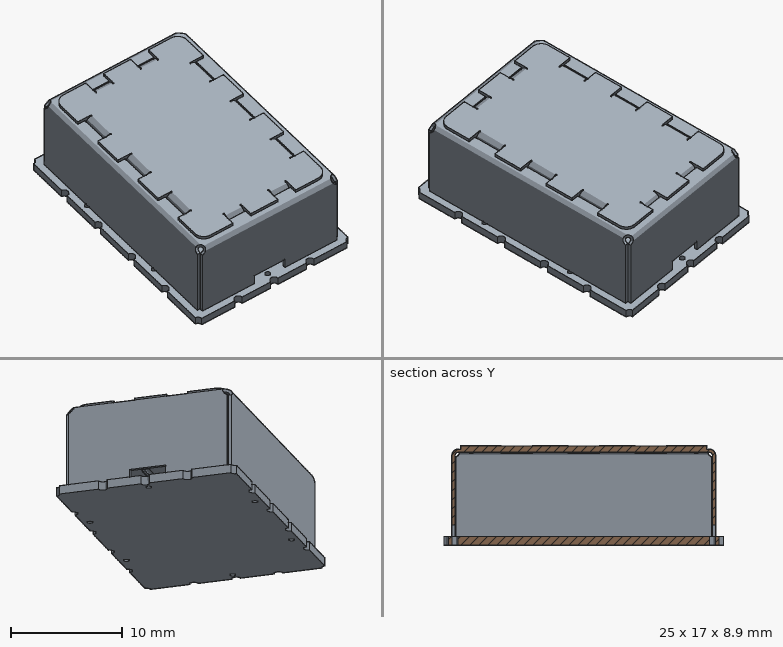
import cadquery as cq
import math

base_length = 25.0
base_width = 17.0
base_thickness = 0.8
castellation_diameter = 0.8
castellation_x = (-7.5, -2.5, 2.5, 7.5)
castellation_y = (-4.0, 0.0, 4.0)
via_diameter = 0.5
long_side_via_x = 5.0
long_side_via_y = 7.8
short_side_via_x = 11.5

overall_height = 8.9
sheet_thickness = 0.3
cover_length = 23.6
cover_width = 15.6
cover_bend_radius = 0.6
end_gap = 0.05
relief_half_angle = 50.0
window_width = 3.4
window_height = 1.0

plate_length = 22.0
plate_width = 14.0
plate_corner_radius = 1.0
tab_bend_radius = 0.7
tab_clearance = 0.1
notch_depth = 1.5
long_side_notch_width = 3.0
long_side_notch_x = (-6.0, 0.0, 6.0)
short_side_notch_width = 2.0
short_side_notch_y = (-2.5, 2.5)

cover_top = overall_height - sheet_thickness
flat_half_length = cover_length / 2 - cover_bend_radius
flat_half_width = cover_width / 2 - cover_bend_radius
short_wall_width = cover_width - 2 * sheet_thickness
long_wall_width = cover_length - 2 * (sheet_thickness + end_gap)


def block(x_size, y_size, z_size, x, y, z_bottom):
    """Box centred on (x, y) and standing on z_bottom."""
    box = cq.Workplane("XY").box(x_size, y_size, z_size, centered=(True, True, False))
    return box.translate((x, y, z_bottom))


def bent_sheet(start, radius, top, width, offset=0.0):
    """Quarter bend of sheet, level at x = start and turning down to vertical on the +X side."""
    inner_radius = radius - sheet_thickness
    centre_z = top - radius
    diagonal = math.sqrt(0.5)
    profile = (
        cq.Workplane("XZ")
        .moveTo(start, top)
        .threePointArc(
            (start + radius * diagonal, centre_z + radius * diagonal),
            (start + radius, centre_z),
        )
        .lineTo(start + inner_radius, centre_z)
        .threePointArc(
            (start + inner_radius * diagonal, centre_z + inner_radius * diagonal),
            (start, top - sheet_thickness),
        )
        .close()
    )
    return profile.extrude(width / 2, both=True).translate((0, offset, 0))


def cover_wall(bend_start, width):
    """Upright wall of the cover on the +X side, with the bend that joins it to the flat top."""
    wall_middle = bend_start + cover_bend_radius - sheet_thickness / 2
    wall_height = cover_top - cover_bend_radius - base_thickness
    wall = block(sheet_thickness, width, wall_height, wall_middle, 0, base_thickness)
    return wall.union(bent_sheet(bend_start, cover_bend_radius, cover_top, width))


def turned(shape, angle):
    """Shape turned about the Z axis."""
    return shape.rotate((0, 0, 0), (0, 0, 1), angle)


def make_base():
    """Board with round notches along its edges and corners, and small through holes."""
    base = block(base_length, base_width, base_thickness, 0, 0, 0)
    half_length = base_length / 2
    half_width = base_width / 2
    notches = []
    for side in (-1, 1):
        notches += [(x, side * half_width) for x in castellation_x]
        notches += [(side * half_length, y) for y in castellation_y]
        notches += [(side * half_length, end * half_width) for end in (-1, 1)]
    vias = [(x, y) for x in (-long_side_via_x, long_side_via_x) for y in (-long_side_via_y, long_side_via_y)]
    vias += [(-short_side_via_x, 0), (short_side_via_x, 0)]
    for points, diameter in ((notches, castellation_diameter), (vias, via_diameter)):
        base = base.cut(cq.Workplane("XY").pushPoints(points).circle(diameter / 2).extrude(base_thickness))
    return base


def corner_reliefs():
    """Cones along the body diagonals, widening outward from where the bend axes cross."""
    relief_length = 2 * cover_bend_radius
    bend_axis_z = cover_top - cover_bend_radius
    relief_mouth_radius = relief_length * math.tan(math.radians(relief_half_angle))
    reliefs = cq.Workplane("XY")
    for x_side in (-1, 1):
        for y_side in (-1, 1):
            apex = cq.Vector(x_side * flat_half_length, y_side * flat_half_width, bend_axis_z)
            diagonal = cq.Vector(x_side, y_side, 1)
            reliefs = reliefs.add(cq.Solid.makeCone(0, relief_mouth_radius, relief_length, apex, diagonal))
    return reliefs.combine()


def make_cover():
    """Open-bottomed cover: flat top, four folded walls, corner reliefs and end windows."""
    cover = block(
        2 * flat_half_length, 2 * flat_half_width, sheet_thickness, 0, 0, cover_top - sheet_thickness
    )
    short_wall = cover_wall(flat_half_length, short_wall_width)
    long_wall = cover_wall(flat_half_width, long_wall_width)
    for angle in (0, 180):
        cover = cover.union(turned(short_wall, angle)).union(turned(long_wall, angle + 90))
    window = block(cover_length, window_width, window_height, 0, 0, base_thickness)
    return cover.cut(window).cut(corner_reliefs())


def fit_tabs(body, plate_half_size, notch_width, offsets, angle):
    """Notch the plate, slot the cover and add the bent tabs along one side of the plate."""
    bend_start = plate_half_size - notch_depth
    slot_middle = bend_start + tab_bend_radius / 2
    notch_middle = plate_half_size - notch_depth / 2
    for offset in offsets:
        notch = block(notch_depth, notch_width, sheet_thickness, notch_middle, offset, cover_top)
        slot = block(
            tab_bend_radius, notch_width, sheet_thickness, slot_middle, offset, cover_top - sheet_thickness
        )
        tab_width = notch_width - 2 * tab_clearance
        tab = bent_sheet(bend_start, tab_bend_radius, overall_height, tab_width, offset)
        body = body.cut(turned(notch.union(slot), angle)).union(turned(tab, angle))
    return body


plate = block(plate_length, plate_width, sheet_thickness, 0, 0, cover_top)
plate = plate.edges("|Z").fillet(plate_corner_radius)

result = make_base().union(make_cover()).union(plate)
for side_angle in (0, 180):
    result = fit_tabs(result, plate_length / 2, short_side_notch_width, short_side_notch_y, side_angle)
    result = fit_tabs(result, plate_width / 2, long_side_notch_width, long_side_notch_x, side_angle + 90)